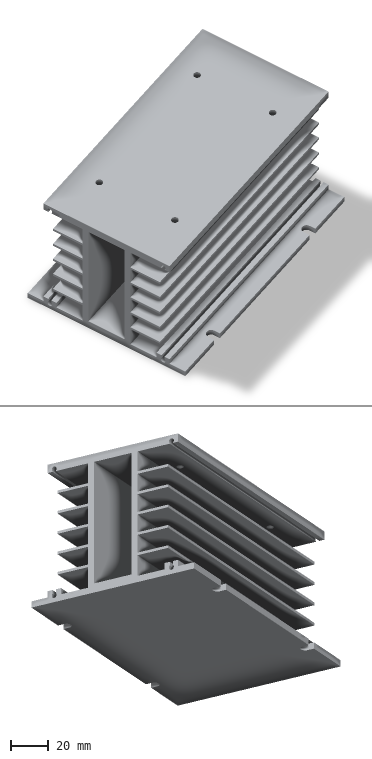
import cadquery as cq

length = 150.0
base_width = 100.0
height = 80.0

base_thickness = 3.6
top_width = 80.1
top_thickness = 4.8

column_width = 30.5
cavity_width = 23.0
cavity_floor = 5.2

fin_span = 68.0
fin_thickness = 1.5
fin_count = 5
fin_pitch = 11.7
lowest_fin_z = 16.2

rail_width = 8.2
rail_top = 7.2
channel_x = 36.0
channel_diameter = 3.0
channel_mouth = 2.0
lower_channel_z = 3.9
upper_channel_depth = 3.5

slot_width = 5.4
slot_depth = 6.5
slot_spacing = 90.0

hole_diameter = 4.0
hole_spacing_x = 48.0
hole_spacing_y = 92.2


def bar(x_center, width, z_bottom, z_top):
    """Full-length rectangular bar centred on the given X position."""
    block = cq.Workplane("XY").box(width, length, z_top - z_bottom, centered=(True, True, False))
    return block.translate((x_center, 0, z_bottom))


def screw_channel(x_center, z_center, mouth_z):
    """Round full-length channel with a narrower mouth reaching up or down to mouth_z."""
    bore = (
        cq.Workplane("XZ")
        .center(x_center, z_center)
        .circle(channel_diameter / 2)
        .extrude(length / 2, both=True)
    )
    mouth = bar(x_center, channel_mouth, min(z_center, mouth_z), max(z_center, mouth_z))
    return bore.union(mouth)


def edge_slot(side, y_center):
    """Round-ended slot cutter entering the base from its left (-1) or right (+1) edge."""
    return (
        cq.Workplane("XY")
        .center(side * base_width / 2, y_center)
        .slot2D(2 * slot_depth, slot_width)
        .extrude(base_thickness)
    )


top_underside = height - top_thickness
body = bar(0, base_width, 0, base_thickness)
body = body.union(bar(0, top_width, top_underside, height))
body = body.union(bar(0, column_width, 0, height))

for index in range(fin_count):
    fin_z = lowest_fin_z + index * fin_pitch
    body = body.union(bar(0, fin_span, fin_z - fin_thickness / 2, fin_z + fin_thickness / 2))

body = body.cut(bar(0, cavity_width, cavity_floor, top_underside))

rail_x = top_width / 2 - rail_width / 2
for side in (-1, 1):
    body = body.union(bar(side * rail_x, rail_width, 0, rail_top))
    body = body.cut(screw_channel(side * channel_x, lower_channel_z, rail_top))
    body = body.cut(screw_channel(side * channel_x, height - upper_channel_depth, top_underside))
    for slot_y in (-slot_spacing / 2, slot_spacing / 2):
        body = body.cut(edge_slot(side, slot_y))

holes = (
    cq.Workplane("XY")
    .workplane(offset=top_underside)
    .rarray(hole_spacing_x, hole_spacing_y, 2, 2)
    .circle(hole_diameter / 2)
    .extrude(top_thickness)
)

result = body.cut(holes)